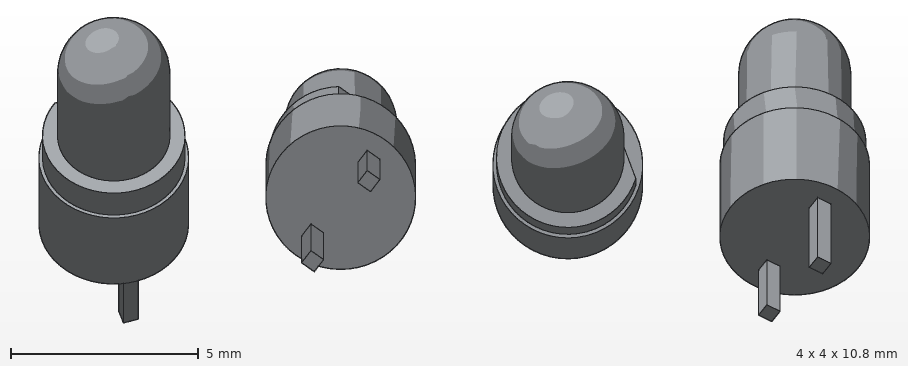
import cadquery as cq

SPACER_DIAMETER = 4.0
SPACER_HEIGHT = 3.0

FLANGE_DIAMETER = 3.8
FLANGE_HEIGHT = 0.99
LENS_DIAMETER = 3.0
LENS_RADIUS = LENS_DIAMETER / 2
LENS_STRAIGHT_HEIGHT = 2.81

LEAD_WIDTH = 0.42
LEAD_PITCH = 2.54
SHORT_LEAD_LENGTH = 1.89
LONG_LEAD_LENGTH = 2.5

FLANGE_TOP = SPACER_HEIGHT + FLANGE_HEIGHT
DOME_BASE = FLANGE_TOP + LENS_STRAIGHT_HEIGHT
LEADS = [
    (-LEAD_PITCH / 2, SHORT_LEAD_LENGTH),
    (LEAD_PITCH / 2, LONG_LEAD_LENGTH),
]


def make_lead(x, length_below):
    """Square lead from below the spacer up to the underside of the flange."""
    return (
        cq.Workplane("XY", origin=(x, 0, -length_below))
        .rect(LEAD_WIDTH, LEAD_WIDTH)
        .extrude(length_below + SPACER_HEIGHT)
    )


def make_flange():
    """Round flange with one flat, on the -X side, tangent to the lens."""
    disc = (
        cq.Workplane("XY", origin=(0, 0, SPACER_HEIGHT))
        .circle(FLANGE_DIAMETER / 2)
        .extrude(FLANGE_HEIGHT)
    )
    beyond_flat = cq.Workplane("XY", origin=(-LENS_RADIUS, 0, SPACER_HEIGHT)).box(
        FLANGE_DIAMETER, FLANGE_DIAMETER, FLANGE_HEIGHT, centered=(False, True, False)
    )
    return disc.intersect(beyond_flat)


def make_lens():
    """Cylinder with a hemispherical dome, revolved about Z from the flange base."""
    arc_offset = LENS_RADIUS * 0.5**0.5
    return (
        cq.Workplane("XZ")
        .moveTo(0, SPACER_HEIGHT)
        .lineTo(LENS_RADIUS, SPACER_HEIGHT)
        .lineTo(LENS_RADIUS, DOME_BASE)
        .threePointArc((arc_offset, DOME_BASE + arc_offset), (0, DOME_BASE + LENS_RADIUS))
        .close()
        .revolve(360, (0, 0, 0), (0, 1, 0))
    )


def make_led():
    """Flange, lens and both leads as one solid."""
    led = make_flange().union(make_lens())
    for x, length_below in LEADS:
        led = led.union(make_lead(x, length_below))
    return led


def make_spacer():
    """Round spacer with a matching square hole for each lead."""
    spacer = cq.Workplane("XY").circle(SPACER_DIAMETER / 2).extrude(SPACER_HEIGHT)
    for x, length_below in LEADS:
        spacer = spacer.cut(make_lead(x, length_below))
    return spacer


spacer = make_spacer()
led = make_led()

result = cq.Compound.makeCompound([spacer.val(), led.val()])